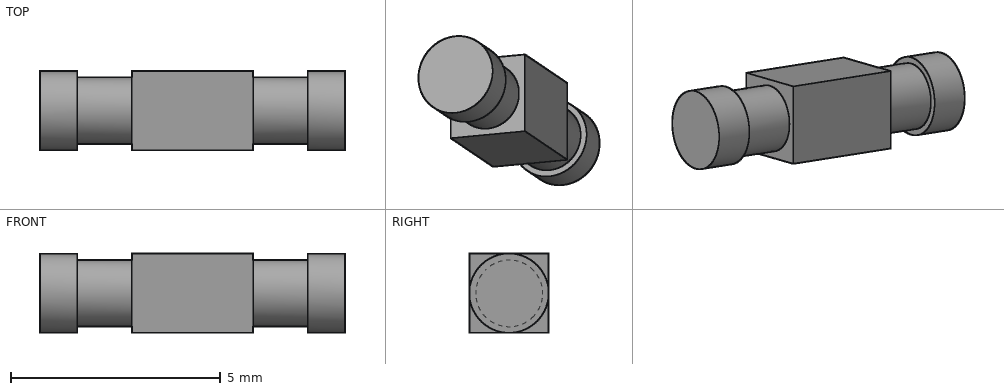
import cadquery as cq

total_length = 7.3
block_width = 1.9
block_length = 2.9
cap_diameter = block_width
cap_length = 0.9
neck_diameter = 1.6

neck_length = (total_length - block_length) / 2 - cap_length
neck_start = block_length / 2
cap_start = neck_start + neck_length


def make_block():
    """Square central block."""
    return cq.Workplane("XY").box(block_length, block_width, block_width)


def make_cylinder(diameter, length, start, side):
    """Cylinder on the X axis, running outward from start on the given side (+1 or -1)."""
    return (
        cq.Workplane("YZ", origin=(side * start, 0, 0))
        .circle(diameter / 2)
        .extrude(side * length)
    )


def make_neck(side):
    """Slim round neck between the block and a cap."""
    return make_cylinder(neck_diameter, neck_length, neck_start, side)


def make_cap(side):
    """Wide round cap at the outer end of a neck."""
    return make_cylinder(cap_diameter, cap_length, cap_start, side)


block = make_block()
necks = []
caps = []
for side in (-1, 1):
    necks.append(make_neck(side).val())
    caps.append(make_cap(side).val())

result = cq.Compound.makeCompound([block.val(), *necks, *caps])